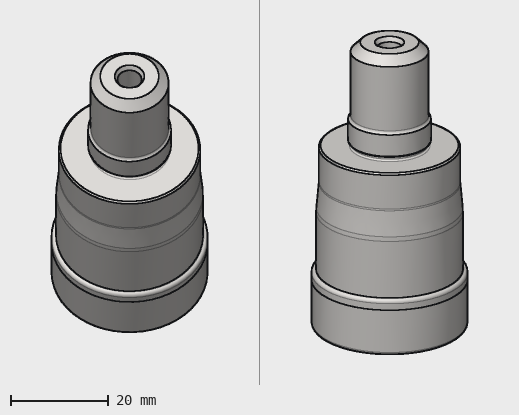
import cadquery as cq
base_radius = 16.0
base_edge_fillet = 0.75
joint_height = 10.15

shoulder_top = 12.5
shoulder_fillet = 0.8
sleeve_radius = 15.05
taper_start = 25.65
taper_start_blend = 0.5
taper_end = 31.95
taper_end_blend = 0.2
head_radius = 14.5
head_top = 40.0
head_chamfer = 0.4

neck_radius = 7.9
neck_fillet = 0.4
collar_radius = 8.5
collar_bottom = 40.95
collar_bottom_chamfer = 0.25
collar_shoulder = 46.0
collar_top = 46.75
stud_radius = 8.0
stud_top = 63.0
stud_chamfer = 2.0

hole_radius = 2.45
hole_mouth_radius = 3.0
hole_mouth_depth = 1.0
hole_depth = 12.6
drill_point_depth = 1.45


def revolve_about_z(profile):
    """Turn a closed (radius, height) outline about the Z axis."""
    return profile.close().revolve(360, (0, 0, 0), (0, 1, 0))


def make_base_cap():
    cap = cq.Workplane("XY").circle(base_radius).extrude(joint_height)
    return cap.faces("<Z").edges().fillet(base_edge_fillet)


def make_stud_hole():
    hole_floor = stud_top - hole_depth
    profile = cq.Workplane("XZ").polyline([
        (0, stud_top),
        (hole_mouth_radius, stud_top),
        (hole_radius, stud_top - hole_mouth_depth),
        (hole_radius, hole_floor),
        (0, hole_floor - drill_point_depth),
    ])
    return revolve_about_z(profile)


def make_upper_body():
    """Stepped housing and its stud, turned as one piece, outlined from the top down."""
    taper_slope = (sleeve_radius - head_radius) / (taper_end - taper_start)
    profile = (
        cq.Workplane("XZ")
        .moveTo(0, stud_top)
        .lineTo(stud_radius - stud_chamfer, stud_top)
        .lineTo(stud_radius, stud_top - stud_chamfer)
        .lineTo(stud_radius, collar_top)
        .tangentArcPoint((collar_radius, collar_shoulder), relative=False)
        .lineTo(collar_radius, collar_bottom + collar_bottom_chamfer)
        .lineTo(collar_radius - collar_bottom_chamfer, collar_bottom)
        .lineTo(neck_radius, collar_bottom)
        .lineTo(neck_radius, head_top + neck_fillet)
        .tangentArcPoint((neck_radius + neck_fillet, head_top), relative=False)
        .lineTo(head_radius - head_chamfer, head_top)
        .lineTo(head_radius, head_top - head_chamfer)
        .lineTo(head_radius, taper_end + taper_end_blend)
        .tangentArcPoint(
            (head_radius + taper_slope * taper_end_blend, taper_end - taper_end_blend), relative=False
        )
        .lineTo(sleeve_radius - taper_slope * taper_start_blend, taper_start + taper_start_blend)
        .tangentArcPoint((sleeve_radius, taper_start - taper_start_blend), relative=False)
        .lineTo(sleeve_radius, shoulder_top)
        .lineTo(base_radius - shoulder_fillet, shoulder_top)
        .tangentArcPoint((base_radius, shoulder_top - shoulder_fillet), relative=False)
        .lineTo(base_radius, joint_height)
        .lineTo(0, joint_height)
    )
    body = revolve_about_z(profile)
    return body.cut(make_stud_hole())


base_cap = make_base_cap()
upper_body = make_upper_body()
result = cq.Compound.makeCompound([base_cap.val(), upper_body.val()])